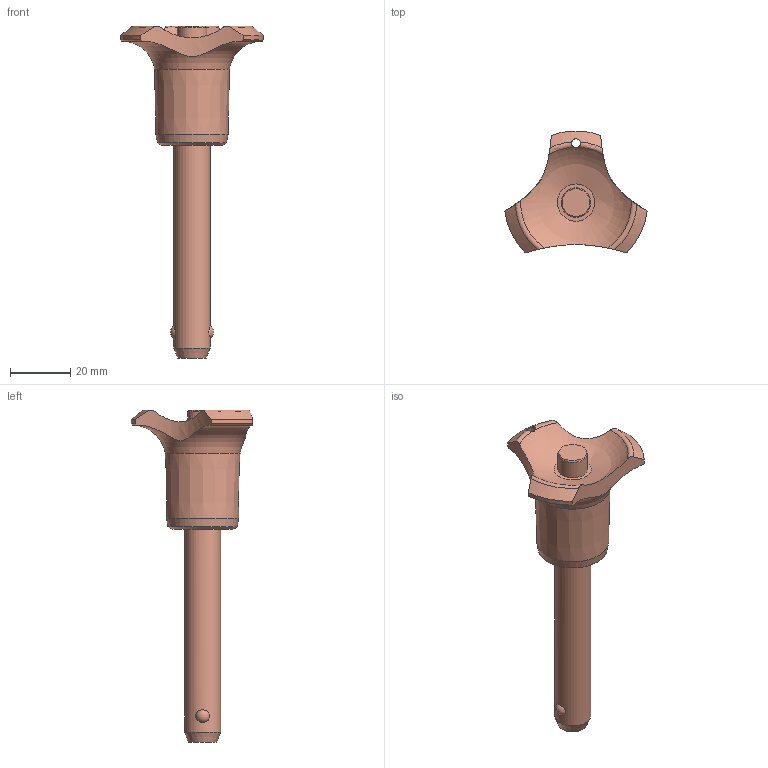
import cadquery as cq
import math


total_height = 110.3
top_z = 39.6
tip_z = top_z - total_height
shank_radius = 6.0
tip_radius = 4.75
tip_taper_height = 3.3

ball_radius = 2.4
ball_reach = 7.2
ball_z = tip_z + 8.6

shoulder_radius = 10.1
shoulder_bevel_radius = 11.5
shoulder_bevel_z = 0.75
body_bottom_radius = 12.0
body_bottom_z = 3.6
body_top_z = 25.3

rim_radius = 23.8
rim_bottom_z = 34.6
rim_edge_bevel = 0.4
rim_band_top_z = 36.5
flare_radius = 11.0
flare_center_radius = 23.3
lip_outer_radius = 20.2
lip_edge_z = 39.25
lip_peak_radius = 19.3
lip_inner_radius = 18.4

dish_floor_radius = 6.2
dish_floor_z = 32.8
dish_mid_radius = 12.5
dish_mid_z = 34.9
button_radius = 4.9
button_bevel_width = 0.3
button_bevel_height = 0.6

side_corner_x = 23.635
total_depth = 40.5
front_corner_y = rim_radius - total_depth
rear_lobe_half_width = 8.2
rear_lobe_flare = 5.0
side_scallop_slope = 31.0
side_scallop_bottom = (11.5, 8.0)
front_scallop_slope = 16.0
front_scallop_bottom_y = -13.95
cutter_overrun = 15.0
cutter_clearance = 1.0
cutter_height = top_z - body_top_z + cutter_clearance

lanyard_hole_diameter = 3.0
lanyard_hole_y = 19.7


def revolved_body():
    """Shank, grip and button as one solid of revolution; points are (radius, Z)."""
    flare_center_z = rim_bottom_z - flare_radius
    flare_start_rise = body_top_z - flare_center_z
    flare_start_radius = flare_center_radius - math.sqrt(flare_radius**2 - flare_start_rise**2)
    flare_mid = flare_radius * math.sqrt(0.5)

    profile = (
        cq.Workplane("XZ")
        .moveTo(0, tip_z)
        .lineTo(tip_radius, tip_z)
        .lineTo(shank_radius, tip_z + tip_taper_height)
        .lineTo(shank_radius, 0)
        .lineTo(shoulder_radius, 0)
        .lineTo(shoulder_bevel_radius, shoulder_bevel_z)
        .lineTo(body_bottom_radius, body_bottom_z)
        .lineTo(flare_start_radius, body_top_z)
        .threePointArc(
            (flare_center_radius - flare_mid, flare_center_z + flare_mid),
            (flare_center_radius, rim_bottom_z),
        )
        .lineTo(rim_radius - rim_edge_bevel, rim_bottom_z)
        .lineTo(rim_radius, rim_bottom_z + rim_edge_bevel)
        .lineTo(rim_radius, rim_band_top_z)
        .lineTo(lip_outer_radius, lip_edge_z)
        .threePointArc((lip_peak_radius, top_z), (lip_inner_radius, lip_edge_z))
        .threePointArc((dish_mid_radius, dish_mid_z), (dish_floor_radius, dish_floor_z))
        .lineTo(button_radius, dish_floor_z)
        .lineTo(button_radius, top_z - button_bevel_height)
        .lineTo(button_radius - button_bevel_width, top_z)
        .lineTo(0, top_z)
        .close()
    )
    return profile.revolve(360, (0, 0, 0), (0, 1, 0))


def scallop_cutter(start, bottom, end, start_angle, end_angle, outer_corners):
    """Upright cutter whose inner wall curves smoothly from one rim corner to the other.

    The angles give the heading of the wall at its start and end, in degrees from +X.
    """
    tangents = [
        (math.cos(math.radians(angle)), math.sin(math.radians(angle)))
        for angle in (start_angle, end_angle)
    ]
    wall = (
        cq.Workplane("XY")
        .workplane(offset=body_top_z)
        .moveTo(*start)
        .spline([bottom, end], tangents=tangents, includeCurrent=True)
    )
    for corner in outer_corners:
        wall = wall.lineTo(*corner)
    return wall.close().extrude(cutter_height)


def side_scallop():
    """Scallop between the rear lobe and the front lobe on the +X side."""
    rear_corner = (rear_lobe_half_width, math.sqrt(rim_radius**2 - rear_lobe_half_width**2))
    front_corner = (side_corner_x, -math.sqrt(rim_radius**2 - side_corner_x**2))
    outer_x = side_corner_x + cutter_overrun
    outer_y = rim_radius + cutter_overrun
    return scallop_cutter(
        rear_corner,
        side_scallop_bottom,
        front_corner,
        rear_lobe_flare - 90,
        -side_scallop_slope,
        [(outer_x, front_corner[1]), (outer_x, outer_y), (rear_corner[0], outer_y)],
    )


def front_scallop():
    """Scallop across the -Y side, symmetric about the Y axis."""
    corner_x = math.sqrt(rim_radius**2 - front_corner_y**2)
    outer_y = -rim_radius - cutter_overrun
    return scallop_cutter(
        (-corner_x, front_corner_y),
        (0, front_scallop_bottom_y),
        (corner_x, front_corner_y),
        front_scallop_slope,
        -front_scallop_slope,
        [(corner_x, outer_y), (-corner_x, outer_y)],
    )


def locking_balls():
    """Two balls standing proud of the shank on the X axis."""
    center_x = ball_reach - ball_radius
    return (
        cq.Workplane("XY")
        .workplane(offset=ball_z)
        .pushPoints([(center_x, 0), (-center_x, 0)])
        .sphere(ball_radius)
    )


def lanyard_hole():
    """Upright hole through the rear lobe."""
    return (
        cq.Workplane("XY")
        .workplane(offset=body_top_z)
        .center(0, lanyard_hole_y)
        .circle(lanyard_hole_diameter / 2)
        .extrude(cutter_height)
    )


right_scallop = side_scallop()
result = (
    revolved_body()
    .cut(right_scallop)
    .cut(right_scallop.mirror("YZ"))
    .cut(front_scallop())
    .cut(lanyard_hole())
    .union(locking_balls())
)